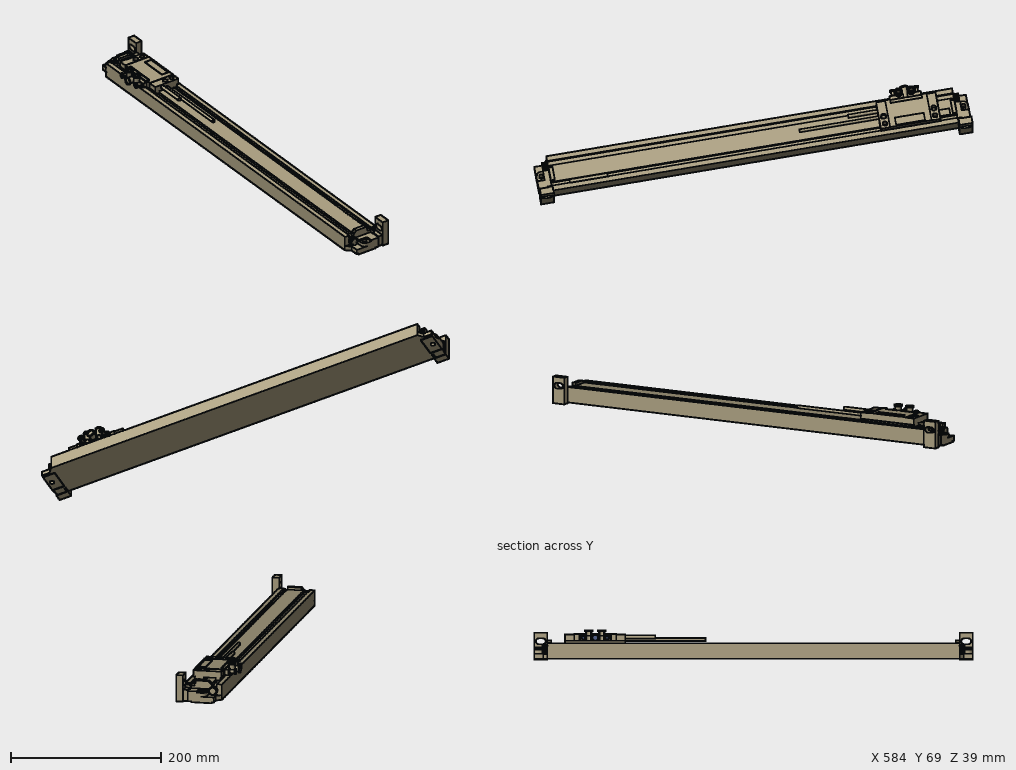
import cadquery as cq

total_length = 584.0
back_y = 34.5

rail_length = 549.0
rail_y0 = -24.0
rail_y1 = 25.5
rail_bottom = 1.0
rail_top = 22.0
slot_depth = 3.5
front_slot = (-17.0, -10.0)
rear_slot = (13.5, 18.5)
filler_x = (198.5, 250.0)
label_x = (-266.0, -242.5)
label_y = (3.5, 12.0)
label_depth = 0.3

tab_length = 5.0
tab_y = (-9.0, 12.0)
tab_top = 25.5
tab_chamfer = 3.0

gland_y = -13.0
gland_z = 14.0
gland_radius = 5.0
gland_length = 7.0
groove_count = 2
groove_width = 1.0
groove_depth = 1.0

gusset_length = 6.0
front_gusset_z = (1.0, 7.5)
rear_gusset_y = 18.0
rear_gusset_z = (11.5, 20.5)

lug_width = 17.5
lug_thickness = 9.5
lug_top = 36.0
lug_slot_length = 13.0
lug_slot_height = 7.5
lug_slot_z = 24.5
base_front_y = -17.0
base_low_top = 8.0
base_high_top = 15.0
base_rib_top = 16.5
base_rib_y = 18.5
hole_inset = 6.5
hole_radius = 3.0
boss_radius = hole_inset
spotface_top = 13.5
spotface_width = 10.0
foot_half_width = 14.0
rib_setback = 0.5
rib_gap = 2.5

outer_x = -total_length / 2
end_x = -rail_length / 2
lug_front = back_y - lug_thickness
hole_x = outer_x + hole_inset

head_x = -211.0
head_length = 80.5
head_y = (-18.0, 20.5)
head_bottom = 25.0
head_top = 34.5
head_end_length = 12.0
head_end_drop = 0.5
head_end_setback = 0.5
rear_runner_y = (6.0, 18.0)
front_runner_y = (-16.5, -10.0)
head_hole_offset = 34.0
head_holes = ((14.0, 3.0), (3.5, 3.5))
plate_size = (39.0, 10.5)
plate_y = 13.5
plate_depth = 0.5

bracket_length = 42.5
bracket_y = (-24.0, -13.5)
bracket_bottom = 25.0
bracket_top = 33.0
bracket_nose_top = 32.0
bracket_chamfer = 1.0
stud_flange = 1.45
upright_offset = 9.0
upright_y = -25.0
upright_top = 39.0
upright_radius = 5.0
upright_neck = 4.0
upright_bore = 3.0
stud_z = 29.0
stud_centre = (-34.5, 5.0, 4.0)
stud_side = (-32.0, 3.5, 2.5)
stud_side_offset = 16.0

long_cable = (-63.5, 2.0, 27.0, 2.05)
short_cable = (-131.0, -6.0, 30.5, 2.5)


def block(x, y, z):
    """Box given by its (low, high) range along each axis."""
    return (cq.Workplane("XY")
            .box(x[1] - x[0], y[1] - y[0], z[1] - z[0], centered=False)
            .translate((x[0], y[0], z[0])))


def x_cylinder(x, y, z, radius):
    """Round bar along X over the range x."""
    return cq.Workplane("YZ", origin=(x[0], y, z)).circle(radius).extrude(x[1] - x[0])


def make_rail():
    span = (end_x, -end_x)
    rail = block(span, (rail_y0, rail_y1), (rail_bottom, rail_top))
    for slot in (front_slot, rear_slot):
        rail = rail.cut(block(span, slot, (rail_top - slot_depth, rail_top)))
    filler_z = (rail_top - slot_depth, rail_top - slot_depth / 2)
    rail = rail.union(block(filler_x, rear_slot, filler_z))
    return rail.cut(block(label_x, label_y, (rail_top - label_depth, rail_top)))


def make_stop_tab():
    return (block((end_x, end_x + tab_length), tab_y, (rail_top, tab_top))
            .faces("<Y").edges(">Z").chamfer(tab_chamfer))


def make_gland():
    gland = x_cylinder((end_x - gland_length, end_x), gland_y, gland_z, gland_radius)
    pitch = gland_length / (groove_count + 1)
    for i in range(groove_count):
        x = end_x - (i + 1) * pitch
        span = (x - groove_width / 2, x + groove_width / 2)
        ring = x_cylinder(span, gland_y, gland_z, gland_radius)
        core = x_cylinder(span, gland_y, gland_z, gland_radius - groove_depth)
        gland = gland.cut(ring.cut(core))
    return gland


def make_gusset(inner_y, outer_y, z):
    """Triangular corner filling between the rail end and the side of the mount."""
    return (cq.Workplane("XY", origin=(0, 0, z[0]))
            .polyline([(end_x, inner_y), (end_x, outer_y), (end_x - gusset_length, inner_y)])
            .close().extrude(z[1] - z[0]))


def make_base():
    rear_y = (base_rib_y, lug_front)
    low = block((outer_x, end_x), (base_front_y, base_rib_y), (rail_bottom, base_low_top))
    raised = (cq.Workplane("XY", origin=(0, 0, base_low_top))
              .moveTo(outer_x, base_rib_y)
              .lineTo(outer_x, 0)
              .radiusArc((hole_x, -boss_radius), -boss_radius)
              .lineTo(end_x, -boss_radius)
              .lineTo(end_x, base_rib_y)
              .close().extrude(base_high_top - base_low_top))
    spotface = block((outer_x, outer_x + spotface_width), (-boss_radius, boss_radius),
                     (spotface_top, base_high_top))
    rib = block((outer_x + rib_setback, end_x - rib_gap), rear_y, (rail_bottom, base_rib_top))
    foot = block((outer_x, end_x), (-foot_half_width, foot_half_width), (0, rail_bottom))
    hole = cq.Workplane("XY").center(hole_x, 0).circle(hole_radius).extrude(base_high_top)

    base = low.union(raised).cut(spotface)
    return base.union(rib).union(foot).cut(hole)


def make_lug():
    lug = block((outer_x, outer_x + lug_width), (lug_front, back_y), (0, lug_top))
    lug_slot = (cq.Workplane("XZ", origin=(outer_x + lug_width / 2, back_y, lug_slot_z))
                .slot2D(lug_slot_length, lug_slot_height).extrude(lug_thickness))
    return lug.cut(lug_slot)


def make_rail_end():
    end = make_base().union(make_lug()).union(make_stop_tab()).union(make_gland())
    end = end.union(make_gusset(base_front_y, rail_y0, front_gusset_z))
    return end.union(make_gusset(rear_gusset_y, lug_front, rear_gusset_z))


def make_scale():
    """Rail with an identical, mirrored mount at both ends."""
    end = make_rail_end()
    return make_rail().union(end).union(end.mirror("YZ"))


def make_head_block():
    x0 = head_x - head_length / 2
    x1 = head_x + head_length / 2
    head = block((x0, x1), head_y, (head_bottom, head_top))
    for runner in (rear_runner_y, front_runner_y):
        head = head.union(block((x0, x1), runner, (rail_top, head_bottom)))
    for pad in ((x0, x0 + head_end_length), (x1 - head_end_length, x1)):
        head = head.cut(block(pad, head_y, (head_top - head_end_drop, head_top)))
        setback_y = (head_y[0], head_y[0] + head_end_setback)
        head = head.cut(block(pad, setback_y, (head_bottom, head_top)))
    for side in (-1, 1):
        for y, radius in head_holes:
            hole = (cq.Workplane("XY", origin=(head_x + side * head_hole_offset, y, rail_top))
                    .circle(radius).extrude(head_top - rail_top))
            head = head.cut(hole)
    plate = (cq.Workplane("XY", origin=(head_x, plate_y, head_top - plate_depth))
             .rect(*plate_size).extrude(plate_depth))
    return head.cut(plate)


def front_stud(x, tip_y, flange_radius, neck_radius):
    """Flanged stud pointing toward -Y."""
    neck = (cq.Workplane("XZ", origin=(x, bracket_y[1], stud_z))
            .circle(neck_radius).extrude(bracket_y[1] - tip_y))
    flange = (cq.Workplane("XZ", origin=(x, tip_y + stud_flange, stud_z))
              .circle(flange_radius).extrude(stud_flange))
    return neck.union(flange)


def upright_stud(x):
    """Flanged stud pointing up."""
    neck = (cq.Workplane("XY", origin=(x, upright_y, bracket_bottom))
            .circle(upright_neck).extrude(upright_top - bracket_bottom))
    flange = (cq.Workplane("XY", origin=(x, upright_y, upright_top - stud_flange))
              .circle(upright_radius).extrude(stud_flange))
    return neck.union(flange)


def add_bracket(head):
    x_range = (head_x - bracket_length / 2, head_x + bracket_length / 2)
    head = head.cut(block(x_range, bracket_y, (bracket_top, head_top)))
    bracket = (block(x_range, bracket_y, (bracket_bottom, bracket_top))
               .faces("<Y").edges("|Z").chamfer(bracket_chamfer))
    nose_y = (bracket_y[0], head_y[0])
    bracket = bracket.cut(block(x_range, nose_y, (bracket_nose_top, bracket_top)))
    bracket = bracket.union(front_stud(head_x, *stud_centre))
    for side in (-1, 1):
        bracket = bracket.union(front_stud(head_x + side * stud_side_offset, *stud_side))
        upright_x = head_x + side * upright_offset
        bracket = bracket.union(upright_stud(upright_x))
        bore = (cq.Workplane("XY", origin=(upright_x, upright_y, 0))
                .circle(upright_bore).extrude(upright_top))
        bracket = bracket.cut(bore)
    return head.union(bracket)


def make_reader_head():
    head = add_bracket(make_head_block())
    cable_start = head_x + head_length / 2 - head_end_length
    for tip_x, y, z, radius in (long_cable, short_cable):
        head = head.union(x_cylinder((cable_start, tip_x), y, z, radius))
    return head


scale = make_scale()
reader_head = make_reader_head()

result = cq.Compound.makeCompound([scale.val(), reader_head.val()])